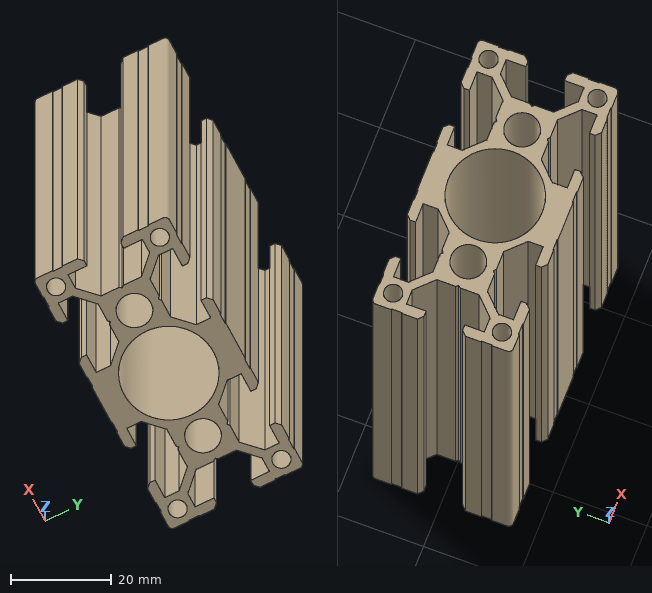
import cadquery as cq

module = 30.0
width = 2 * module
depth = module
length = 100.0
edge_radius = 1.0

slot_opening = 8.2
lip_thickness = 2.2
lip_chamfer = 1.0
slot_inner_width = 16.6
slot_wall_depth = 5.4
slot_depth = 9.2
slot_floor_width = slot_inner_width - 2 * (slot_depth - slot_wall_depth)

mark_width = 1.0
mark_depth = 0.4

groove_width = 2.2
groove_depth = 0.17
groove_offset = 9.6

center_bore_diameter = 20.0
core_bore_diameter = 7.3
corner_bore_diameter = 3.8
corner_bore_inset = 3.4


def slot_cutter():
    """T-slot with its side grooves, opening toward +Y at y = 0 and centered on x = 0."""
    half_opening = slot_opening / 2
    half_inner = slot_inner_width / 2
    half_floor = slot_floor_width / 2
    half_mark = mark_width / 2
    half_mouth = half_opening + lip_chamfer

    cutter = (
        cq.Workplane("XY")
        .moveTo(-half_mouth, 0)
        .lineTo(-half_opening, -lip_chamfer)
        .lineTo(-half_opening, -lip_thickness)
        .lineTo(-half_inner, -lip_thickness)
        .lineTo(-half_inner, -slot_wall_depth)
        .lineTo(-half_floor, -slot_depth)
        .lineTo(-half_mark, -slot_depth)
        .lineTo(0, -slot_depth - mark_depth)
        .lineTo(half_mark, -slot_depth)
        .lineTo(half_floor, -slot_depth)
        .lineTo(half_inner, -slot_wall_depth)
        .lineTo(half_inner, -lip_thickness)
        .lineTo(half_opening, -lip_thickness)
        .lineTo(half_opening, -lip_chamfer)
        .lineTo(half_mouth, 0)
        .close()
        .extrude(length)
    )
    grooves = (
        cq.Workplane("XY")
        .pushPoints([(-groove_offset, 0), (groove_offset, 0)])
        .rect(groove_width, 2 * groove_depth)
        .extrude(length)
    )
    return cutter.union(grooves)


def bores(diameter, centers):
    """Full-length round cutters at the given centers."""
    return cq.Workplane("XY").pushPoints(centers).circle(diameter / 2).extrude(length)


result = cq.Workplane("XY").rect(width, depth).extrude(length).edges("|Z").fillet(edge_radius)

slot_places = [
    (-module / 2, depth / 2, 0),
    (module / 2, depth / 2, 0),
    (-module / 2, -depth / 2, 180),
    (module / 2, -depth / 2, 180),
    (-width / 2, 0, 90),
    (width / 2, 0, -90),
]
slot = slot_cutter()
for x, y, angle in slot_places:
    result = result.cut(slot.rotate((0, 0, 0), (0, 0, 1), angle).translate((x, y, 0)))

corner_x = width / 2 - corner_bore_inset
corner_y = depth / 2 - corner_bore_inset
corner_centers = [(sx * corner_x, sy * corner_y) for sx in (-1, 1) for sy in (-1, 1)]
result = result.cut(bores(center_bore_diameter, [(0, 0)]))
result = result.cut(bores(core_bore_diameter, [(-module / 2, 0), (module / 2, 0)]))
result = result.cut(bores(corner_bore_diameter, corner_centers))